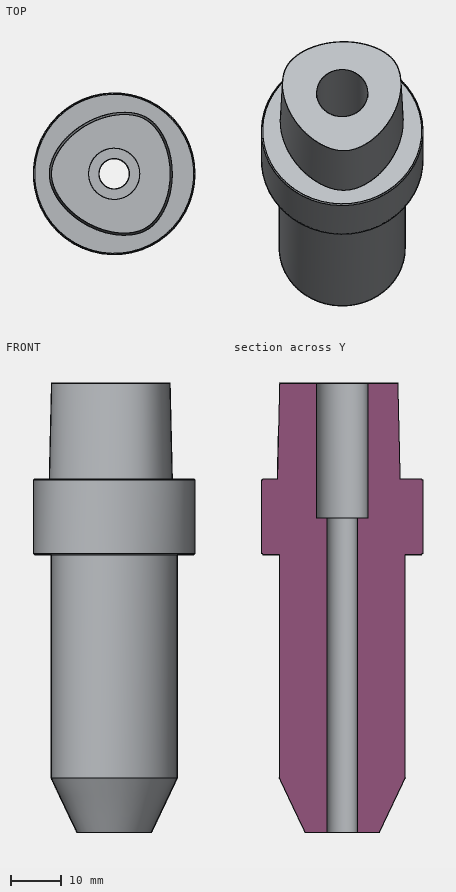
import cadquery as cq
import math

total_length = 89.0
flange_diameter = 32.0
flange_height = 15.0
flange_chamfer = 0.3

shank_height = 19.0
shank_base_radius = 12.2
shank_top_radius = 11.75
lobe_offset = 0.67
profile_points = 48

bar_diameter = 25.0
nose_diameter = 14.8
nose_height = 10.8

bore_diameter = 10.15
bore_depth = 26.7
through_diameter = 6.0

flange_top = total_length - shank_height
flange_bottom = flange_top - flange_height


def lobed_profile(mean_radius):
    """Points on a three-lobed curve of constant width, with one lobe toward -X."""
    points = []
    for i in range(profile_points):
        a = 2 * math.pi * i / profile_points
        x = mean_radius * math.cos(a) - lobe_offset * (2 * math.cos(2 * a) - math.cos(4 * a))
        y = mean_radius * math.sin(a) + lobe_offset * (2 * math.sin(2 * a) + math.sin(4 * a))
        points.append((x, y))
    return points


def make_shank():
    return (
        cq.Workplane("XY", origin=(0, 0, flange_top))
        .spline(lobed_profile(shank_base_radius), periodic=True)
        .close()
        .workplane(offset=shank_height)
        .spline(lobed_profile(shank_top_radius), periodic=True)
        .close()
        .loft(ruled=True, combine=True)
    )


def make_flange():
    return (
        cq.Workplane("XY", origin=(0, 0, flange_bottom))
        .circle(flange_diameter / 2)
        .extrude(flange_height)
        .edges()
        .chamfer(flange_chamfer)
    )


def make_bar():
    half_profile = [
        (0, 0),
        (nose_diameter / 2, 0),
        (bar_diameter / 2, nose_height),
        (bar_diameter / 2, flange_bottom),
        (0, flange_bottom),
    ]
    return cq.Workplane("XZ").polyline(half_profile).close().revolve(360, (0, 0), (0, 1))


def make_bore():
    through_hole = cq.Workplane("XY").circle(through_diameter / 2).extrude(total_length)
    wide_bore = (
        cq.Workplane("XY", origin=(0, 0, total_length - bore_depth))
        .circle(bore_diameter / 2)
        .extrude(bore_depth)
    )
    return through_hole.union(wide_bore)


result = make_bar().union(make_flange()).union(make_shank()).cut(make_bore())